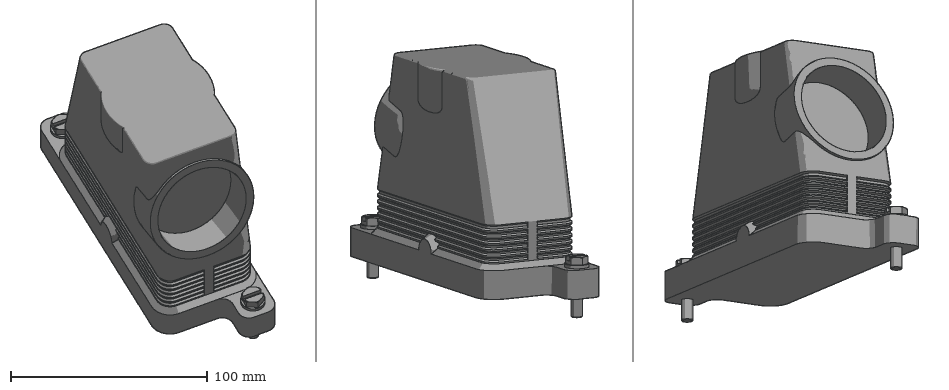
import cadquery as cq
import math

FLANGE_HEIGHT = 15.0
FLANGE_LENGTH = 127.7
FLANGE_WIDTH = 58.0
FLANGE_CORNER_R = 10.5

OVERALL_LENGTH = 165.0
EAR_WIDTH = 20.0
EAR_R = 6.0

SLOPE = 3.0
COLLAR_LENGTH = FLANGE_LENGTH - 2 * SLOPE
COLLAR_WIDTH = FLANGE_WIDTH - 2 * SLOPE
COLLAR_CORNER_R = FLANGE_CORNER_R - SLOPE
COLLAR_BASE_Z = FLANGE_HEIGHT + SLOPE
COLLAR_TOP_Z = 38.1
GROOVE_COUNT = 6
GROOVE_DEPTH = 1.0
GROOVE_CHAMFER = 0.8
GROOVE_MOUTH = 2.5
TOP_GROOVE_MOUTH = 3.0
ALL_MOUTHS = TOP_GROOVE_MOUTH + (GROOVE_COUNT - 1) * GROOVE_MOUTH
RIDGE_WIDTH = (COLLAR_TOP_Z - COLLAR_BASE_Z - ALL_MOUTHS) / GROOVE_COUNT
PAD_WIDTH = 5.5

HOOD_TOP_Z = 111.2
TAPER_ANGLE = 15.0
HOOD_TOP_LENGTH = COLLAR_LENGTH - 2 * (HOOD_TOP_Z - COLLAR_TOP_Z) * math.tan(math.radians(TAPER_ANGLE))
HOOD_TOP_CORNER_R = 5.0
HOOD_EDGE_R = 1.5

BOSS_R = FLANGE_WIDTH / 2
BOSS_LENGTH = 24.8
BOSS_INNER_R = 6.0
TOP_BOSS_RIM_R = 1.0
BORE_R = 24.8
BORE_DEPTH = BOSS_LENGTH - BOSS_INNER_R
SIDE_BOSS_X = 52.5
SIDE_BOSS_Z = 75.4

LUG_FACE_R = 6.6
LUG_ROOT_R = 9.2
LUG_DEPTH = SLOPE + GROOVE_DEPTH

SCREW_X = 73.0
SCREW_Y = 19.0
SHANK_R = 3.0
SHANK_END_Z = -11.0
SHANK_CHAMFER = 0.5
SCREW_DISC_R = 6.3
SCREW_DISC_HEIGHT = 1.6
HEAD_ACROSS_FLATS = 10.0
HEAD_ACROSS_CORNERS = HEAD_ACROSS_FLATS / math.cos(math.radians(30))
HEAD_TOP_Z = 20.6
HEAD_CHAMFER = 0.5
SLOT_WIDTH = 2.1
SLOT_DEPTH = 2.1

SCREW_POINTS = [(-SCREW_X, -SCREW_Y), (SCREW_X, SCREW_Y)]


def rounded_rect(length, width, radius):
    return cq.Sketch().rect(length, width).vertices().fillet(radius)


def make_ear():
    """Ear at the -X, -Y corner, reaching inward past the rounded flange corner."""
    length = (OVERALL_LENGTH - FLANGE_LENGTH) / 2 + FLANGE_CORNER_R
    return (
        cq.Workplane("XY")
        .box(length, EAR_WIDTH, FLANGE_HEIGHT, centered=False)
        .edges("|Z and <X")
        .fillet(EAR_R)
        .translate((-OVERALL_LENGTH / 2, -FLANGE_WIDTH / 2, 0))
    )


def make_flange():
    outline = rounded_rect(FLANGE_LENGTH, FLANGE_WIDTH, FLANGE_CORNER_R)
    flange = cq.Workplane("XY").placeSketch(outline).extrude(FLANGE_HEIGHT)
    ear = make_ear()
    flange = flange.union(ear).union(ear.rotate((0, 0, 0), (0, 0, 1), 180))
    for side in (-1, 1):
        inner_corner = (
            side * FLANGE_LENGTH / 2,
            side * (FLANGE_WIDTH / 2 - EAR_WIDTH),
            FLANGE_HEIGHT / 2,
        )
        flange = flange.edges(cq.selectors.NearestToPointSelector(inner_corner)).fillet(EAR_R)
    slope = (
        cq.Workplane("XY", origin=(0, 0, FLANGE_HEIGHT))
        .placeSketch(
            outline,
            rounded_rect(COLLAR_LENGTH, COLLAR_WIDTH, COLLAR_CORNER_R).moved(cq.Location((0, 0, SLOPE))),
        )
        .loft()
    )
    return flange.union(slope)


def collar_layer(inset_bottom, inset_top, z_bottom, z_top):
    """Slice of the collar whose walls lie inset_bottom and inset_top inside the full outline."""
    def section(inset):
        return rounded_rect(COLLAR_LENGTH - 2 * inset, COLLAR_WIDTH - 2 * inset, COLLAR_CORNER_R - inset)

    plane = cq.Workplane("XY", origin=(0, 0, z_bottom))
    height = z_top - z_bottom
    if inset_bottom == inset_top:
        return plane.placeSketch(section(inset_bottom)).extrude(height)
    return plane.placeSketch(
        section(inset_bottom),
        section(inset_top).moved(cq.Location((0, 0, height))),
    ).loft()


def make_collar():
    """Stack of grooves and ridges from the top down, crossed by the plain end pads."""
    collar = (
        cq.Workplane("XY", origin=(0, 0, COLLAR_BASE_Z))
        .rect(COLLAR_LENGTH, PAD_WIDTH)
        .extrude(COLLAR_TOP_Z - COLLAR_BASE_Z)
    )
    layer_top = COLLAR_TOP_Z
    for index in range(GROOVE_COUNT):
        mouth = TOP_GROOVE_MOUTH if index == 0 else GROOVE_MOUTH
        groove_bottom = layer_top - mouth
        ridge_bottom = groove_bottom - RIDGE_WIDTH
        floor_top = layer_top - GROOVE_CHAMFER
        floor_bottom = groove_bottom + GROOVE_CHAMFER
        for layer in (
            collar_layer(GROOVE_DEPTH, 0, floor_top, layer_top),
            collar_layer(GROOVE_DEPTH, GROOVE_DEPTH, floor_bottom, floor_top),
            collar_layer(0, GROOVE_DEPTH, groove_bottom, floor_bottom),
            collar_layer(0, 0, ridge_bottom, groove_bottom),
        ):
            collar = collar.union(layer)
        layer_top = ridge_bottom
    return collar


def make_hood():
    rise = HOOD_TOP_Z - COLLAR_TOP_Z
    return (
        cq.Workplane("XY", origin=(0, 0, COLLAR_TOP_Z))
        .placeSketch(
            rounded_rect(COLLAR_LENGTH, COLLAR_WIDTH, COLLAR_CORNER_R),
            rounded_rect(HOOD_TOP_LENGTH, COLLAR_WIDTH, HOOD_TOP_CORNER_R).moved(cq.Location((0, 0, rise))),
        )
        .loft()
        .faces(">Z")
        .edges()
        .fillet(HOOD_EDGE_R)
    )


def make_boss(face_plane):
    """Cylinder going inward from its outer face, rounded at the buried end."""
    boss = cq.Workplane("XY").circle(BOSS_R).extrude(-BOSS_LENGTH)
    boss = boss.faces("<Z").edges().fillet(BOSS_INNER_R)
    return cq.Workplane(boss.val().moved(cq.Location(face_plane)))


def make_lug(side):
    outer_face = cq.Vector(0, side * FLANGE_WIDTH / 2, FLANGE_HEIGHT)
    return cq.Solid.makeCone(LUG_FACE_R, LUG_ROOT_R, LUG_DEPTH, outer_face, cq.Vector(0, -side, 0))


def make_housing():
    top_face = cq.Plane(origin=(0, 0, HOOD_TOP_Z))
    tilt = math.radians(TAPER_ANGLE)
    side_face = cq.Plane(
        origin=(SIDE_BOSS_X, 0, SIDE_BOSS_Z),
        xDir=(0, 1, 0),
        normal=(math.cos(tilt), 0, math.sin(tilt)),
    )
    housing = make_flange().union(make_collar()).union(make_hood())
    top_boss = make_boss(top_face).faces(">Z").edges().fillet(TOP_BOSS_RIM_R)
    housing = housing.union(top_boss).union(make_boss(side_face))
    for side in (-1, 1):
        housing = housing.union(cq.Workplane(make_lug(side)))
    bore = cq.Workplane(side_face).circle(BORE_R).extrude(-BORE_DEPTH)
    screw_holes = cq.Workplane("XY").pushPoints(SCREW_POINTS).circle(SHANK_R).extrude(FLANGE_HEIGHT)
    return housing.cut(bore).cut(screw_holes)


def make_screw_head():
    """Slotted hexagon with its upper corners turned off by a 45 degree cone."""
    base_z = FLANGE_HEIGHT + SCREW_DISC_HEIGHT
    height = HEAD_TOP_Z - base_z
    plane = cq.Workplane("XY", origin=(0, 0, base_z))
    head = plane.polygon(6, HEAD_ACROSS_CORNERS).extrude(height)
    turned = plane.circle(HEAD_ACROSS_CORNERS / 2).extrude(height).faces(">Z").edges().chamfer(HEAD_CHAMFER)
    slot = (
        cq.Workplane("XY", origin=(0, 0, HEAD_TOP_Z))
        .rect(SLOT_WIDTH, HEAD_ACROSS_CORNERS)
        .extrude(-SLOT_DEPTH)
    )
    return head.intersect(turned).cut(slot)


def make_screw(x, y):
    shank = (
        cq.Workplane("XY", origin=(0, 0, SHANK_END_Z))
        .circle(SHANK_R)
        .extrude(FLANGE_HEIGHT - SHANK_END_Z)
        .faces("<Z")
        .chamfer(SHANK_CHAMFER)
    )
    disc = cq.Workplane("XY", origin=(0, 0, FLANGE_HEIGHT)).circle(SCREW_DISC_R).extrude(SCREW_DISC_HEIGHT)
    return shank.union(disc).union(make_screw_head()).translate((x, y, 0))


housing = make_housing()
screws = [make_screw(x, y).val() for x, y in SCREW_POINTS]

result = cq.Compound.makeCompound([housing.val(), *screws])